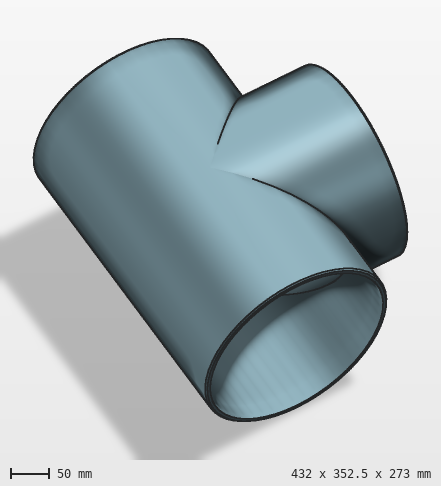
import cadquery as cq

run_length = 432.0
outer_diameter = 273.0
wall = 6.5
bevel = 2.0

outer_radius = outer_diameter / 2
inner_radius = outer_radius - wall
branch_length = run_length / 2


def beveled_pipe_end(length):
    """Solid cylinder along +Z from the origin, beveled on its outer far edge."""
    cylinder = cq.Workplane("XY").circle(outer_radius).extrude(length)
    return cylinder.faces(">Z").edges().chamfer(bevel)


def bore(length):
    return cq.Workplane("XY").circle(inner_radius).extrude(length)


def along_x(body):
    return body.rotate((0, 0, 0), (0, 1, 0), 90)


def along_y(body):
    return body.rotate((0, 0, 0), (1, 0, 0), -90)


half_run = along_x(beveled_pipe_end(run_length / 2))
run = half_run.union(half_run.mirror("YZ"))
body = run.union(along_y(beveled_pipe_end(branch_length)))

run_bore = along_x(bore(run_length).translate((0, 0, -run_length / 2)))
result = body.cut(run_bore).cut(along_y(bore(branch_length)))